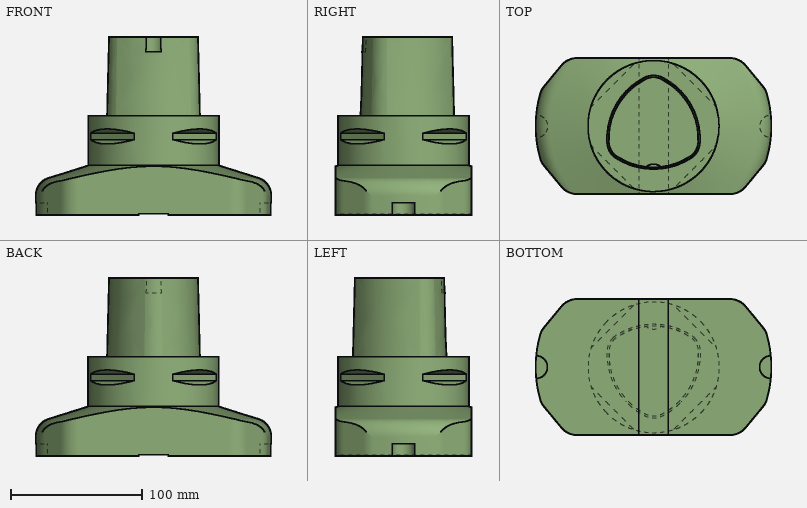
import cadquery as cq
import math

base_length = 180.0
base_width = 104.0
hub_radius = base_length / 2
cone_top_z = 38.0
rim_cone_angle = math.radians(17.5)
rim_round = 14.4
corner_plane_angle = math.radians(39.5)
corner_plane_distance = 83.7
corner_round = 16.0

collar_radius = 100.0 / 2
collar_top_z = 76.0
groove_z = 60.1
groove_floor_distance = 44.3
groove_floor_height = 4.9
groove_wall_angle = math.radians(30)

total_height = 136.0
shank_length = total_height - collar_top_z
lobe_tip_distance = 38.7
lobe_round = 15.1
lobe_side_distance = 33.0
shank_taper = math.degrees(math.atan(1 / 40))

notch_radius = 8.1
notch_depth = 11.3
notch_floor_distance = 29.0
keyway_width = 17.1
keyway_height = 9.4
keyway_corner_round = 8.3
keyway_floor_distance = 81.0
slot_width = 22.1
slot_depth = 1.0


def polar(distance, angle):
    return (distance * math.cos(angle), distance * math.sin(angle))


def make_hub():
    """Revolved base body with a conical top and a rounded rim."""
    rim_z = cone_top_z - (hub_radius - collar_radius) * math.tan(rim_cone_angle)
    tangent = rim_round * math.tan(math.pi / 4 - rim_cone_angle / 2)
    arc_centre = (hub_radius - rim_round, rim_z - tangent)
    cone_end = (
        hub_radius - tangent * math.cos(rim_cone_angle),
        rim_z + tangent * math.sin(rim_cone_angle),
    )
    mid_dx, mid_dz = polar(rim_round, math.pi / 4 - rim_cone_angle / 2)
    arc_middle = (arc_centre[0] + mid_dx, arc_centre[1] + mid_dz)
    return (
        cq.Workplane("XZ")
        .lineTo(hub_radius, 0)
        .lineTo(hub_radius, arc_centre[1])
        .threePointArc(arc_middle, cone_end)
        .lineTo(collar_radius, cone_top_z)
        .lineTo(0, cone_top_z)
        .close()
        .revolve(360, (0, 0), (0, 1))
    )


def make_outline_block():
    """Upright block with round ends, slanted corner flats and rounded corners."""
    half_width = base_width / 2
    cos_a = math.cos(corner_plane_angle)
    sin_a = math.sin(corner_plane_angle)
    side_x = (corner_plane_distance - half_width * sin_a) / cos_a
    end_angle = corner_plane_angle - math.acos(corner_plane_distance / hub_radius)
    end_x, end_y = polar(hub_radius, end_angle)
    return (
        cq.Workplane("XY")
        .moveTo(-side_x, -half_width)
        .lineTo(side_x, -half_width)
        .lineTo(end_x, -end_y)
        .threePointArc((hub_radius, 0), (end_x, end_y))
        .lineTo(side_x, half_width)
        .lineTo(-side_x, half_width)
        .lineTo(-end_x, end_y)
        .threePointArc((-hub_radius, 0), (-end_x, -end_y))
        .close()
        .extrude(cone_top_z)
        .edges("|Z")
        .fillet(corner_round)
    )


def make_groove_cutter():
    """Straight groove with sloping walls, cut into the +X side of the collar."""
    depth = collar_radius - groove_floor_distance
    floor_half = groove_floor_height / 2
    mouth_half = floor_half + depth * math.tan(groove_wall_angle)
    return (
        cq.Workplane("XZ")
        .moveTo(groove_floor_distance, groove_z - floor_half)
        .lineTo(collar_radius, groove_z - mouth_half)
        .lineTo(collar_radius, groove_z + mouth_half)
        .lineTo(groove_floor_distance, groove_z + floor_half)
        .close()
        .extrude(collar_radius, both=True)
    )


def make_shank():
    """Tapered shank: three small lobe arcs tangent to three wide side arcs."""
    lobe_centre = lobe_tip_distance - lobe_round
    reach = lobe_side_distance - lobe_round
    side_centre = (lobe_centre**2 - reach**2) / (2 * reach - lobe_centre)
    dx = lobe_centre * math.cos(math.pi / 6)
    dy = lobe_centre * math.sin(math.pi / 6) + side_centre
    side_radius = lobe_side_distance + side_centre
    span = math.atan2(dx, dy)
    joint_x = side_radius * math.sin(span)
    joint_y = side_centre - side_radius * math.cos(span)
    joint_distance = math.hypot(joint_x, joint_y)
    joint_offset = math.atan2(joint_x, -joint_y)

    outline = cq.Workplane("XY", origin=(0, 0, collar_top_z))
    outline = outline.moveTo(-joint_x, joint_y)
    for side in range(3):
        middle = -math.pi / 2 + side * 2 * math.pi / 3
        lobe = middle + math.pi / 3
        side_end = polar(joint_distance, middle + joint_offset)
        lobe_end = polar(joint_distance, 2 * lobe - middle - joint_offset)
        outline = outline.threePointArc(polar(lobe_side_distance, middle), side_end)
        outline = outline.threePointArc(polar(lobe_tip_distance, lobe), lobe_end)
    return outline.close().extrude(shank_length, taper=shank_taper)


def make_notch_cutter():
    """Round-backed notch at the top of the shank's -Y side."""
    return (
        cq.Workplane("XY", origin=(0, 0, total_height - notch_depth))
        .center(0, -notch_floor_distance - notch_radius)
        .circle(notch_radius)
        .extrude(notch_depth)
    )


def make_keyway_cutter(side):
    """Keyway with rounded inner corners, open at one X end of the base."""
    length = hub_radius - keyway_floor_distance
    inner_face = "<X" if side > 0 else ">X"
    return (
        cq.Workplane("XY")
        .center(side * (keyway_floor_distance + length), 0)
        .rect(2 * length, keyway_width)
        .extrude(keyway_height)
        .faces(inner_face)
        .edges("|Z")
        .fillet(keyway_corner_round)
    )


result = make_hub().intersect(make_outline_block())
collar = cq.Workplane("XY").circle(collar_radius).extrude(collar_top_z)
result = result.union(collar).union(make_shank())

for quarter in range(4):
    groove = make_groove_cutter().rotate((0, 0, 0), (0, 0, 1), 45 + 90 * quarter)
    result = result.cut(groove)

result = result.cut(make_notch_cutter())
for side in (-1, 1):
    result = result.cut(make_keyway_cutter(side))

underside_slot = cq.Workplane("XY").rect(slot_width, base_width).extrude(slot_depth)
result = result.cut(underside_slot)